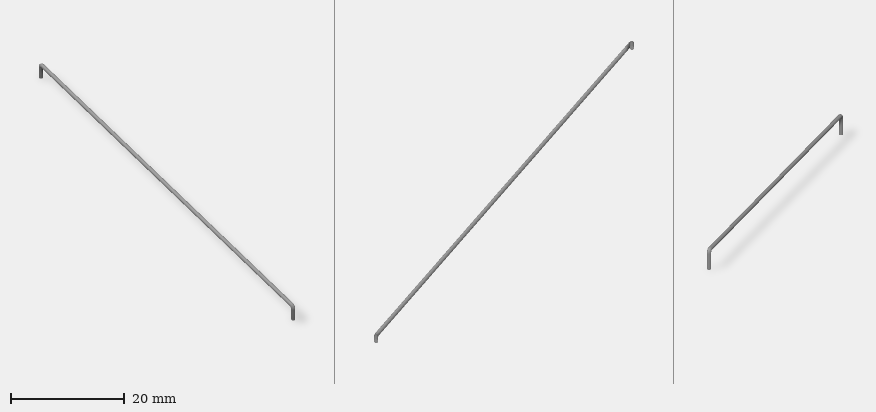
import cadquery as cq

wire_diameter = 0.75
leg_pitch = 70.0
overall_height = 3.98
bend_radius = 0.6

wire_radius = wire_diameter / 2
leg_x = leg_pitch / 2
axis_z = overall_height - wire_radius
bend_start_z = axis_z - bend_radius
bend_end_x = leg_x - bend_radius


def wire_axis():
    """Path of the wire axis, in the XZ plane, from the left tip to the right tip."""
    return (
        cq.Workplane("XZ")
        .moveTo(-leg_x, 0)
        .lineTo(-leg_x, bend_start_z)
        .tangentArcPoint((-bend_end_x, axis_z), relative=False)
        .lineTo(bend_end_x, axis_z)
        .tangentArcPoint((leg_x, bend_start_z), relative=False)
        .lineTo(leg_x, 0)
    )


result = cq.Workplane("XY").center(-leg_x, 0).circle(wire_radius).sweep(wire_axis())